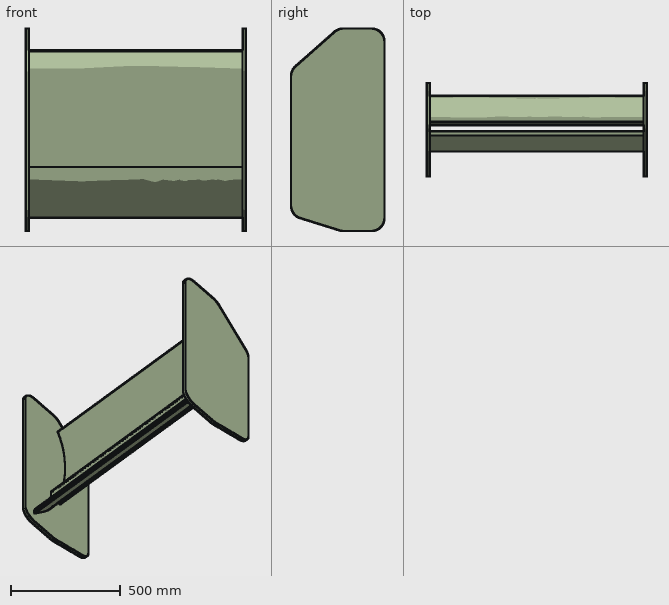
import cadquery as cq

span = 1003.0
plate_depth = 426.0
plate_height = 923.0
plate_thickness = 15.0
corner_radius = 60.0

top_slope_depth = 216.0
top_slope_height = 191.0
bottom_slope_depth = 231.0
bottom_slope_height = 72.0

upper_front = [(187.0, 819.0), (138.0, 749.0), (113.0, 622.0), (140.0, 449.0), (193.0, 293.0)]
upper_back = [(203.0, 299.0), (171.0, 449.0), (159.0, 602.0), (175.0, 742.0), (208.0, 826.0)]
lower_front = [(247.0, 331.0), (236.0, 251.0), (268.0, 181.0), (321.0, 108.0), (363.0, 60.0)]
lower_back = [(368.0, 70.0), (311.0, 161.0), (271.0, 211.0), (256.0, 271.0), (252.0, 333.0)]


def end_plate(start_x):
    """Rounded six-sided plate in the YZ plane, growing along +X."""
    outline = [
        (0, bottom_slope_height),
        (bottom_slope_depth, 0),
        (plate_depth, 0),
        (plate_depth, plate_height),
        (top_slope_depth, plate_height),
        (0, plate_height - top_slope_height),
    ]
    plate = cq.Workplane("YZ", origin=(start_x, 0, 0)).polyline(outline).close()
    return plate.extrude(plate_thickness).edges("|X").fillet(corner_radius)


def blade(front_face, back_face):
    """Curved blade reaching between the outer faces of both plates."""
    section = (
        cq.Workplane("YZ")
        .moveTo(*front_face[0])
        .spline(front_face[1:], includeCurrent=True)
        .lineTo(*back_face[0])
        .spline(back_face[1:], includeCurrent=True)
        .close()
    )
    return section.extrude(span)


result = (
    end_plate(0)
    .union(end_plate(span - plate_thickness))
    .union(blade(upper_front, upper_back))
    .union(blade(lower_front, lower_back))
    .clean()
)